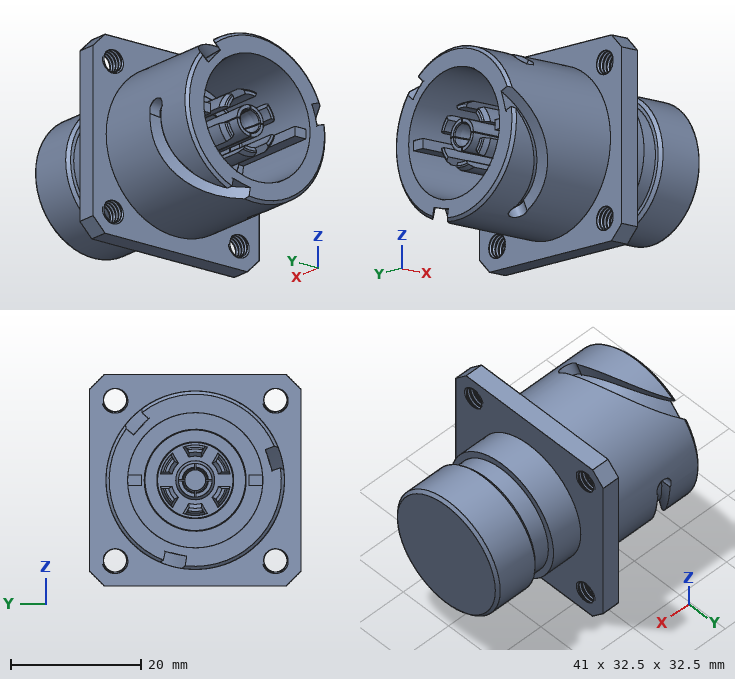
import cadquery as cq
import math


total_length = 41.0
flange_front = 19.95
flange_thickness = 3.3
flange_rear = flange_front + flange_thickness
neck_front = 29.05
neck_rear = 32.47

barrel_radius = 13.7
barrel_chamfer = 0.5
rear_radius = 11.3
rear_chamfer = 0.55
neck_radius = 10.15
flange_side = 32.5
flange_corner_cut = 2.35

hole_offset = 12.3
hole_radius = 1.75
thread_depth = 0.25
thread_pitch = 0.7
thread_root_flat = 0.12
thread_mouth = 0.6
thread_overlap = 0.05
thread_run_out = thread_pitch
thread_start_angle = -37.0

bore_radius = 10.37
bore_depth = 16.4
key_front = 1.02
key_width = 1.6
key_tip_radius = 8.25
insert_radius = 7.85
insert_front = 13.95
insert_edge_chamfer = 0.12
socket_radius = 5.8
socket_edge_chamfer = 0.12

contact_front = 1.65
contact_foot = 0.8
contact_foot_start = bore_depth - contact_foot
finger_inner_radius = 4.3
finger_tip_radius = 4.8
finger_lip_radius = 5.05
finger_outer_radius = 5.4
finger_foot_radius = 3.7
finger_lip_length = 0.15
finger_cone_length = 1.0
finger_count = 6
finger_gap = 2.6
finger_gap_at_foot = 1.9
pin_radius = 2.6
pin_foot_radius = 3.0
pin_mouth_radius = 2.0
pin_mouth_chamfer = 0.15
pin_mouth_depth = 1.45
pin_taper_length = 1.65
pin_bore_radius = 1.6
pin_slit_width = 0.15
pin_slit_length = 8.2

groove_count = 3
groove_width = 2.62
groove_floor_radius = 11.73
groove_end_angle = 123.6
groove_end_x = 7.7
groove_end_diameter = 3.05
groove_arc_radius = 24.6
groove_straight = 1.02
groove_lead_in = 2.05
groove_path_steps = 16

overlap = 0.4


def revolved(points):
    """Solid of revolution about X from (x, radius) points."""
    return cq.Workplane("XY").polyline(points).close().revolve(360, (0, 0, 0), (1, 0, 0))


def cylinder(start, end, radius):
    return cq.Workplane("YZ", origin=(start, 0, 0)).circle(radius).extrude(end - start)


def turned(body, angle):
    return body.rotate((0, 0, 0), (1, 0, 0), angle)


def shell():
    barrel = cylinder(0, flange_rear, barrel_radius).faces("<X").chamfer(barrel_chamfer)
    flange = (
        cq.Workplane("YZ", origin=(flange_front, 0, 0))
        .rect(flange_side, flange_side)
        .extrude(flange_thickness)
        .edges("|X")
        .chamfer(flange_corner_cut)
    )
    shoulder = cylinder(flange_front, neck_front, rear_radius)
    neck = cylinder(flange_front, total_length - rear_chamfer, neck_radius)
    collar = cylinder(neck_rear, total_length, rear_radius).edges("%CIRCLE").chamfer(rear_chamfer)
    return barrel.union(flange).union(shoulder).union(neck).union(collar)


def hole_thread_cutter():
    """Helical V groove on the X axis, running out of both flange faces."""
    length = flange_thickness + 2 * thread_run_out
    helix = cq.Wire.makeHelix(thread_pitch, length, hole_radius)
    half_mouth = thread_mouth / 2
    return (
        cq.Workplane("XZ")
        .polyline([
            (hole_radius - thread_overlap, -half_mouth),
            (hole_radius + thread_depth, -thread_root_flat / 2),
            (hole_radius + thread_depth, thread_root_flat / 2),
            (hole_radius - thread_overlap, half_mouth),
        ])
        .close()
        .sweep(cq.Workplane(helix), isFrenet=True)
        .rotate((0, 0, 0), (0, 1, 0), 90)
        .rotate((0, 0, 0), (1, 0, 0), thread_start_angle)
        .translate((flange_front - thread_run_out, 0, 0))
    )


def groove_path_point(travel):
    """Point on the groove floor, at a distance around the barrel before the groove's end."""
    along_arc = max(travel - groove_straight, 0)
    drop = groove_arc_radius - math.sqrt(groove_arc_radius**2 - along_arc**2)
    angle = math.radians(groove_end_angle) - travel / barrel_radius
    return cq.Vector(
        groove_end_x - drop,
        groove_floor_radius * math.cos(angle),
        groove_floor_radius * math.sin(angle),
    )


def bayonet_groove_cutter():
    start_drop = groove_end_x + groove_lead_in
    arc_travel = math.sqrt(groove_arc_radius**2 - (groove_arc_radius - start_drop) ** 2)
    full_travel = groove_straight + arc_travel
    points = [
        groove_path_point(full_travel * (1 - step / groove_path_steps))
        for step in range(groove_path_steps + 1)
    ]
    path = cq.Edge.makeSpline(points)
    axis = cq.Wire.assembleEdges([
        cq.Edge.makeLine(cq.Vector(points[0].x, 0, 0), cq.Vector(points[-1].x, 0, 0))
    ])
    start_radial = cq.Vector(0, points[0].y, points[0].z)
    height = barrel_radius + overlap - groove_floor_radius
    section_plane = cq.Plane(origin=points[0], xDir=start_radial, normal=path.tangentAt(0))
    channel = (
        cq.Workplane(section_plane)
        .center(height / 2, 0)
        .rect(height, groove_width)
        .sweep(cq.Workplane(cq.Wire.assembleEdges([path])), auxSpine=cq.Workplane(axis))
    )
    end_pocket = turned(
        cq.Workplane("XY", origin=(groove_end_x, 0, groove_floor_radius))
        .circle(groove_end_diameter / 2)
        .extrude(height),
        groove_end_angle - 90,
    )
    return channel.union(end_pocket)


def keys():
    key_height = bore_radius + overlap - key_tip_radius
    key_length = bore_depth + overlap - key_front
    key = cq.Workplane("XY").box(key_length, key_height, key_width, centered=(False, False, True))
    key = key.translate((key_front, key_tip_radius, 0))
    return key.union(turned(key, 180))


def insert():
    return revolved([
        (bore_depth + overlap, socket_radius),
        (insert_front + socket_edge_chamfer, socket_radius),
        (insert_front, socket_radius + socket_edge_chamfer),
        (insert_front, insert_radius - insert_edge_chamfer),
        (insert_front + insert_edge_chamfer, insert_radius),
        (bore_depth + overlap, insert_radius),
    ])


def contact_fingers():
    """Six spring fingers left between slots in a tube, flaring at their feet."""
    lip_end = contact_front + finger_lip_length
    fingers = revolved([
        (contact_front, finger_inner_radius),
        (contact_front, finger_tip_radius),
        (lip_end, finger_lip_radius),
        (lip_end + finger_cone_length, finger_outer_radius),
        (bore_depth + overlap, finger_outer_radius),
        (bore_depth + overlap, finger_foot_radius),
        (bore_depth, finger_foot_radius),
        (contact_foot_start, finger_inner_radius),
    ])
    slot = (
        cq.Workplane("XZ")
        .polyline([
            (contact_front - overlap, -finger_gap / 2),
            (contact_foot_start, -finger_gap / 2),
            (bore_depth, -finger_gap_at_foot / 2),
            (bore_depth, finger_gap_at_foot / 2),
            (contact_foot_start, finger_gap / 2),
            (contact_front - overlap, finger_gap / 2),
        ])
        .close()
        .extrude(socket_radius)
    )
    for index in range(finger_count):
        fingers = fingers.cut(turned(slot, index * 360 / finger_count))
    return fingers


def contact_pin():
    """Central socket contact, split into four by crossed slits."""
    counterbore_radius = pin_mouth_radius - pin_mouth_chamfer
    counterbore_end = contact_front + pin_mouth_depth
    pin = revolved([
        (contact_front, pin_mouth_radius),
        (contact_front, pin_radius),
        (contact_foot_start, pin_radius),
        (bore_depth, pin_foot_radius),
        (bore_depth + overlap, pin_foot_radius),
        (bore_depth + overlap, pin_bore_radius),
        (counterbore_end + pin_taper_length, pin_bore_radius),
        (counterbore_end, counterbore_radius),
        (contact_front + pin_mouth_chamfer, counterbore_radius),
    ])
    slit = (
        cq.Workplane("XY")
        .box(pin_slit_length, 2 * pin_foot_radius, pin_slit_width, centered=(False, True, True))
        .translate((contact_front, 0, 0))
    )
    return pin.cut(slit).cut(turned(slit, 90))


body = shell().cut(cylinder(0, bore_depth, bore_radius))

core_cutter = cylinder(flange_front, flange_rear, hole_radius)
thread_cutter = hole_thread_cutter()
for side_y in (-1, 1):
    for side_z in (-1, 1):
        hole_place = (0, side_y * hole_offset, side_z * hole_offset)
        body = body.cut(core_cutter.translate(hole_place)).cut(thread_cutter.translate(hole_place))

groove_cutter = bayonet_groove_cutter()
for index in range(groove_count):
    body = body.cut(turned(groove_cutter, index * 360 / groove_count))

result = body.union(keys()).union(insert()).union(contact_fingers()).union(contact_pin())